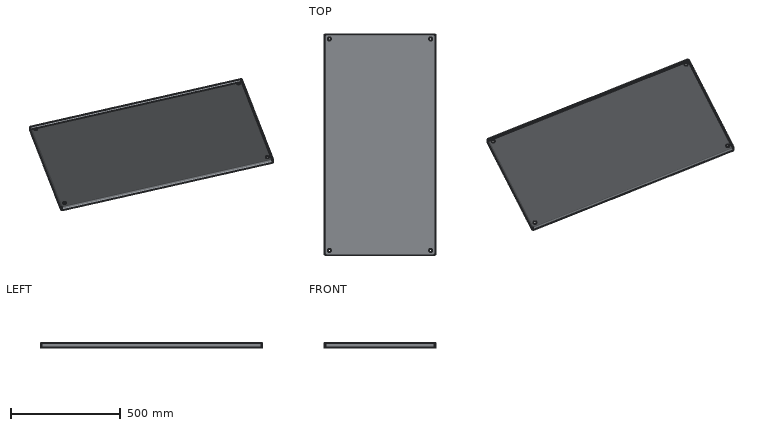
import cadquery as cq

width = 509.0
length = 1013.0
height = 22.0

sheet = 1.5
bend_radius = 3.0
corner_notch = 4.0
hole_diameter = 14.0
hole_inset = 22.0


def folded_tray():
    """Flat panel with four flanges folded down around rounded bends."""
    outside = (
        cq.Workplane("XY")
        .box(width, length, height, centered=(True, True, False))
        .faces(">Z")
        .edges()
        .fillet(bend_radius)
    )
    inside = (
        cq.Workplane("XY")
        .box(width - 2 * sheet, length - 2 * sheet, height - sheet, centered=(True, True, False))
        .faces(">Z")
        .edges()
        .fillet(bend_radius - sheet)
    )
    return outside.cut(inside)


def corner_reliefs():
    """Square gaps that separate neighbouring flanges at the corners."""
    return (
        cq.Workplane("XY")
        .rect(width - corner_notch, length - corner_notch, forConstruction=True)
        .vertices()
        .rect(corner_notch, corner_notch)
        .extrude(height)
    )


def mounting_holes():
    """One through hole near each corner of the panel."""
    return (
        cq.Workplane("XY")
        .rect(width - 2 * hole_inset, length - 2 * hole_inset, forConstruction=True)
        .vertices()
        .circle(hole_diameter / 2)
        .extrude(height)
    )


result = folded_tray().cut(corner_reliefs()).cut(mounting_holes())